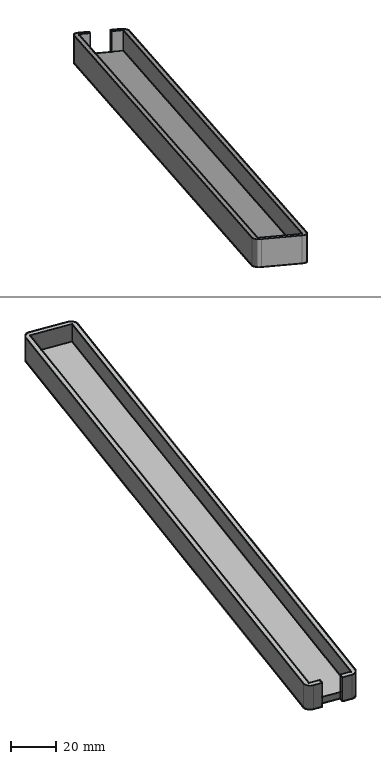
import cadquery as cq

length = 295.8
width = 25.0
height = 13.0
corner_radius = 3.3

wall = 2.5
floor_thickness = 3.5
opening_width = 9.8


def rounded_block():
    """Solid bar with its four upright corners rounded, resting on Z = 0."""
    block = cq.Workplane("XY").box(length, width, height, centered=(True, True, False))
    return block.edges("|Z").fillet(corner_radius)


def cavity():
    """Square-cornered pocket open at the top."""
    return (
        cq.Workplane("XY")
        .workplane(offset=floor_thickness)
        .rect(length - 2 * wall, width - 2 * wall)
        .extrude(height - floor_thickness)
    )


def end_opening():
    """Full-height gap through the -X end wall, ending at its inner face."""
    return (
        cq.Workplane("XY")
        .center(-length / 2 + wall / 2, 0)
        .rect(wall, opening_width)
        .extrude(height)
    )


result = rounded_block().cut(cavity()).cut(end_opening())